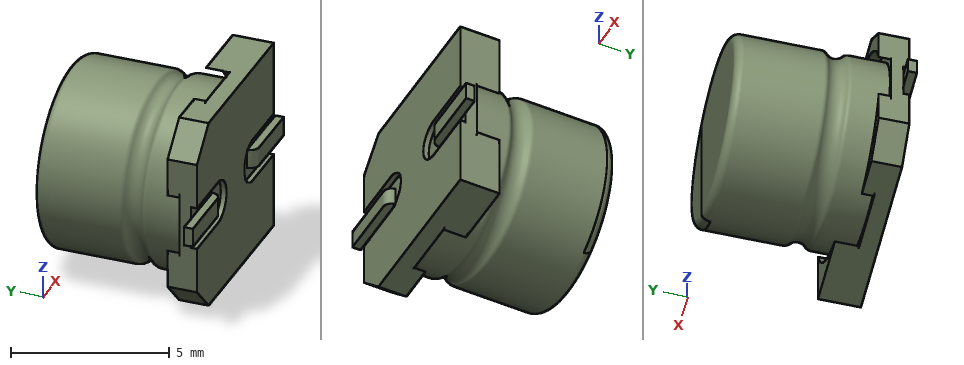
import cadquery as cq
import math


base_side = 6.6
corner_chamfer = 1.0
floor_thickness = 0.6
low_wall_height = 1.0
high_wall_height = 1.4
bore_radius = 3.45

overall_length = 7.8
terminal_width = 0.655
terminal_thickness = 0.3
terminal_inner_x = 1.5
terminal_standoff = 0.1
slot_depth = terminal_thickness - terminal_standoff
slot_radius = 0.73

overall_depth = 5.7
can_radius = 3.15
can_end_y = overall_depth - terminal_standoff
rim_radius = 0.3
groove_center_y = 2.255
groove_half_width = 0.45
groove_depth = 0.195
groove_arc_half_width = 0.305

mark_edge_x = 1.55
mark_depth = rim_radius


def box_between(low, high):
    """Box from its lowest to its highest corner."""
    size = [b - a for a, b in zip(low, high)]
    return cq.Workplane("XY").box(*size, centered=False).translate(low)


def cylinder_along_y(radius, start_y, length):
    return cq.Workplane(cq.Solid.makeCylinder(radius, length, cq.Vector(0, start_y, 0), cq.Vector(0, 1, 0)))


def make_base():
    half = base_side / 2
    base = box_between((-half, 0, -half), (half, high_wall_height, half))
    base = base.edges("|Y and <X").chamfer(corner_chamfer)

    base = base.cut(box_between((-half, low_wall_height, -half), (0, high_wall_height, half)))

    base = base.cut(cylinder_along_y(bore_radius, floor_thickness, high_wall_height))

    for side in (-1, 1):
        inner, outer = sorted((side * terminal_inner_x, side * half))
        slot = box_between((inner, 0, -slot_radius), (outer, slot_depth, slot_radius))
        slot_end = cylinder_along_y(slot_radius, 0, slot_depth).translate((side * terminal_inner_x, 0, 0))
        base = base.cut(slot).cut(slot_end)
    return base


def make_terminal(side):
    """Flat terminal with a rounded inner end; side is -1 or +1 along X."""
    bottom_y = -terminal_standoff
    outer_x = side * overall_length / 2
    inner_x = side * terminal_inner_x
    bend_x = inner_x + side * terminal_thickness
    bend_drop = terminal_thickness * math.sqrt(0.5)
    return (
        cq.Workplane("XY")
        .moveTo(outer_x, bottom_y)
        .lineTo(bend_x, bottom_y)
        .threePointArc((bend_x - side * bend_drop, slot_depth - bend_drop), (inner_x, slot_depth))
        .lineTo(outer_x, slot_depth)
        .close()
        .extrude(terminal_width / 2, both=True)
    )


def make_full_can():
    """Can with a rounded rim and a smooth groove of three tangent arcs."""
    groove_bottom = can_radius - groove_depth
    join_radius = groove_bottom + groove_depth * groove_arc_half_width / groove_half_width
    groove_start = (can_radius, groove_center_y - groove_half_width)
    groove_end = (can_radius, groove_center_y + groove_half_width)
    lower_join = (join_radius, groove_center_y - groove_arc_half_width)
    upper_join = (join_radius, groove_center_y + groove_arc_half_width)
    can = (
        cq.Workplane("XY")
        .moveTo(0, floor_thickness)
        .lineTo(can_radius, floor_thickness)
        .lineTo(*groove_start)
        .tangentArcPoint(lower_join, relative=False)
        .threePointArc((groove_bottom, groove_center_y), upper_join)
        .tangentArcPoint(groove_end, relative=False)
        .lineTo(can_radius, can_end_y)
        .lineTo(0, can_end_y)
        .close()
        .revolve(360, (0, 0, 0), (0, 1, 0))
    )
    return can.faces(">Y").edges().fillet(rim_radius)


full_can = make_full_can()
mark_region = box_between(
    (mark_edge_x, can_end_y - mark_depth, -can_radius),
    (can_radius, can_end_y, can_radius),
)
polarity_mark = full_can.intersect(mark_region)
can = full_can.cut(mark_region)

base = make_base()
terminals = [make_terminal(side) for side in (-1, 1)]

result = cq.Compound.makeCompound(
    [base.val(), can.val(), polarity_mark.val(), *[terminal.val() for terminal in terminals]]
)